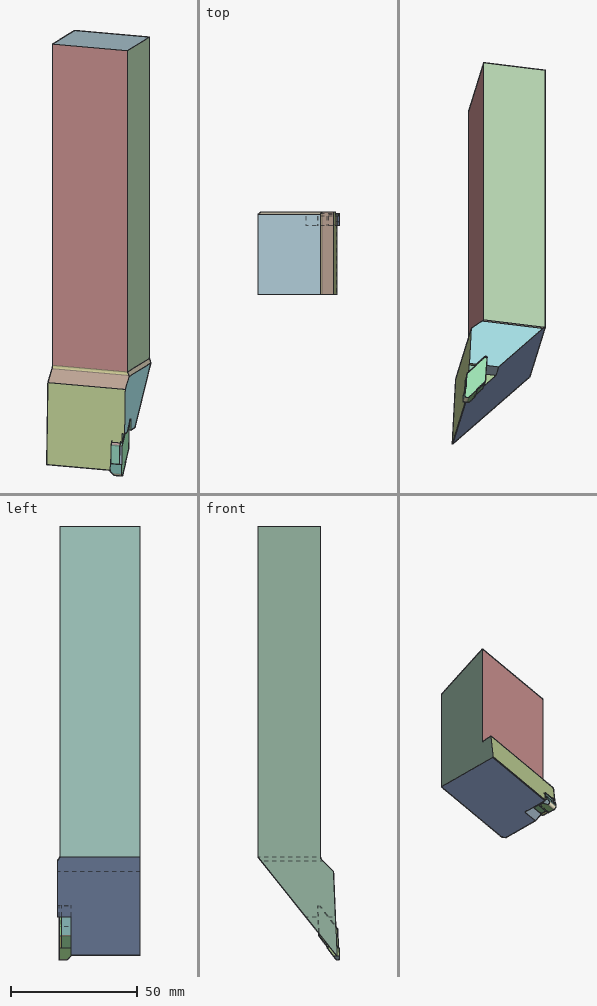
import cadquery as cq
import math

LENGTH = 171.4
SHANK_WIDTH = 24.8
SHANK_DEPTH = 31.7
HEAD_HEIGHT = 40.8
SLANT_ANGLE = 38.6
SHOULDER_X = 30.0
SHOULDER_Z = 35.0
SHOULDER_FILLET = 1.7
HEAD_TIP_X = 31.4
HEAD_TIP_Z = 1.9

PAD_THICKNESS = 1.0
PAD_BOTTOM = 17.0
PAD_RAMP_HEIGHT = 1.5

INSERT_THICKNESS = 4.8
TOP_FACE_RISE = 0.3
INSERT_SIDE = 14.2
NOSE_RADIUS = 0.9
NOSE_RIGHT_X = 32.4
FLANK_ANGLE = 2.5
POINT_ANGLE = 35.0
TIP_HEIGHT = 4.8
TIP_BEVEL = 1.7
LAND_HEIGHT = 1.0
LAND_INSET = 0.25
BODY_INSET = 0.43

INSERT_TOP = SHANK_DEPTH + TOP_FACE_RISE
POCKET_FLOOR = INSERT_TOP - INSERT_THICKNESS
BACK_Y = SHANK_DEPTH + PAD_THICKNESS
SHOULDER_ROOT_Z = SHOULDER_Z + SHOULDER_X - SHANK_WIDTH


def step_along(start, angle, distance):
    """Point reached from start by going up at an angle that leans from +Z toward -X."""
    lean = math.radians(angle)
    return (start[0] - distance * math.sin(lean), start[1] + distance * math.cos(lean))


def prism(outline, y_start, y_end):
    """Closed XZ outline extruded along +Y from y_start to y_end."""
    plane = cq.Workplane("XZ", origin=(0, y_start, 0))
    return plane.polyline(outline).close().extrude(y_start - y_end)


def box_between(x_range, y_range, z_range):
    sizes = [end - start for start, end in (x_range, y_range, z_range)]
    corner = (x_range[0], y_range[0], z_range[0])
    return cq.Workplane("XY").box(*sizes, centered=False).translate(corner)


def holder_outline():
    """Shank and head together in the XZ plane."""
    slant_run = (HEAD_HEIGHT - HEAD_TIP_Z) * math.tan(math.radians(SLANT_ANGLE))
    return [
        (0, HEAD_HEIGHT),
        (0, LENGTH),
        (SHANK_WIDTH, LENGTH),
        (SHANK_WIDTH, SHOULDER_ROOT_Z),
        (SHOULDER_X, SHOULDER_Z),
        (HEAD_TIP_X, HEAD_TIP_Z),
        (slant_run, HEAD_TIP_Z),
    ]


def holder_prism(y_start, y_end):
    """Holder outline extruded, with the inner shoulder corner rounded."""
    root = cq.selectors.NearestToPointSelector((SHANK_WIDTH, (y_start + y_end) / 2, SHOULDER_ROOT_Z))
    return prism(holder_outline(), y_start, y_end).edges("|Y").edges(root).fillet(SHOULDER_FILLET)


def rhombus_corners(inset):
    """Sharp corners of the insert, set back by inset: point, upper right, far, lower left."""
    half_point = POINT_ANGLE / 2
    middle_angle = FLANK_ANGLE + half_point
    nose_centre = (NOSE_RIGHT_X - NOSE_RADIUS, NOSE_RADIUS)
    radius = NOSE_RADIUS - inset
    side = INSERT_SIDE - 2 * inset / math.sin(math.radians(POINT_ANGLE))
    point = step_along(nose_centre, middle_angle, -radius / math.sin(math.radians(half_point)))
    upper_right = step_along(point, FLANK_ANGLE, side)
    lower_left = step_along(point, FLANK_ANGLE + POINT_ANGLE, side)
    far_point = step_along(upper_right, FLANK_ANGLE + POINT_ANGLE, side)
    return [point, upper_right, far_point, lower_left]


def rhombus_prism(inset, y_start, y_end):
    """Insert rhombus with every corner rounded."""
    return prism(rhombus_corners(inset), y_start, y_end).edges("|Y").fillet(NOSE_RADIUS - inset)


def build_insert():
    land_bottom = INSERT_TOP - LAND_HEIGHT
    tip = rhombus_prism(0, POCKET_FLOOR, INSERT_TOP)
    body = rhombus_prism(BODY_INSET, POCKET_FLOOR, land_bottom)
    land = rhombus_prism(LAND_INSET, land_bottom, INSERT_TOP)
    tip_zone = box_between((0, NOSE_RIGHT_X), (0, BACK_Y), (0, TIP_HEIGHT))
    bevel_profile = [(POCKET_FLOOR, 0), (POCKET_FLOOR + TIP_BEVEL, 0), (POCKET_FLOOR, TIP_BEVEL)]
    bevel = cq.Workplane("YZ").polyline(bevel_profile).close().extrude(NOSE_RIGHT_X)
    tip = tip.intersect(tip_zone).cut(bevel)
    return tip.union(body.union(land).cut(tip_zone))


def build_pad():
    """Pad over the head above the insert, ramping down to the shank at its top."""
    ramp_profile = [
        (SHANK_DEPTH, PAD_BOTTOM),
        (BACK_Y, PAD_BOTTOM),
        (BACK_Y, HEAD_HEIGHT - PAD_RAMP_HEIGHT),
        (SHANK_DEPTH, HEAD_HEIGHT),
    ]
    pad_side = cq.Workplane("YZ").polyline(ramp_profile).close().extrude(HEAD_TIP_X)
    return holder_prism(SHANK_DEPTH, BACK_Y).intersect(pad_side)


def build_pocket():
    """Seat for the insert, open at the back, with a clearance beside its lower left corner."""
    seat = rhombus_prism(LAND_INSET, POCKET_FLOOR, BACK_Y)
    lower_left_x = rhombus_corners(LAND_INSET)[-1][0]
    clearance = box_between((0, lower_left_x), (POCKET_FLOOR, BACK_Y), (0, PAD_BOTTOM))
    return seat.union(clearance)


def build_holder(insert):
    blank = holder_prism(0, SHANK_DEPTH).union(build_pad())
    return blank.cut(build_pocket()).cut(insert)


insert = build_insert()
holder = build_holder(insert)

result = cq.Compound.makeCompound([holder.val(), insert.val()])